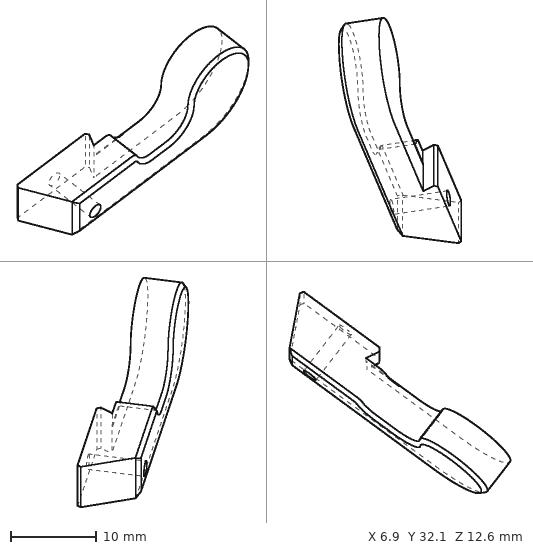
import cadquery as cq
import math

width = 6.9
length = 32.12
height = 12.62

head_radius = 5.0
arm_left = 1.9
arm_height = 4.0
head_y = length - head_radius
head_z = height - head_radius
heel_radius = head_z
neck_radius = head_z - arm_height

block_height = 6.0
step_start_y = 15.77
step_end_y = 12.78
step_hollow_radius = 2.2
step_left = 2.0

slant_slope = 0.5
hook_root_y = 11.92
edge_chamfer = 0.48
rim_chamfer = 0.5
pin_diameter = 1.8
pin_y = 6.33
pin_z = 2.0

front_corner_y = -edge_chamfer * math.sin(math.atan(slant_slope))


def slanted_y(corner_y, x, slope):
    return corner_y + slope * x


def make_side_profile():
    """Outline in the YZ plane of the arm, the round head and the step."""
    step_length = step_start_y - step_end_y
    step_rise = block_height - arm_height
    step_angle = 2 * math.atan2(step_rise, step_length)
    step_crest_radius = step_length / math.sin(step_angle) - step_hollow_radius

    def step_point(angle):
        """Point on the hollow arc, measured from its lowest point."""
        return (
            step_start_y - step_hollow_radius * math.sin(angle),
            arm_height + step_hollow_radius * (1 - math.cos(angle)),
        )

    def crest_point(angle):
        """Point on the crest arc, measured from its highest point."""
        return (
            step_end_y + step_crest_radius * math.sin(angle),
            block_height - step_crest_radius * (1 - math.cos(angle)),
        )

    half_diagonal = math.sqrt(0.5)
    heel_y = length - heel_radius
    neck_y = head_y - head_radius - neck_radius
    inner_y = slanted_y(hook_root_y, step_left, -slant_slope)
    return (
        cq.Workplane("YZ")
        .moveTo(inner_y, 0)
        .lineTo(heel_y, 0)
        .threePointArc(
            (heel_y + heel_radius * half_diagonal, head_z - heel_radius * half_diagonal),
            (length, head_z),
        )
        .threePointArc((head_y, height), (head_y - head_radius, head_z))
        .threePointArc(
            (neck_y + neck_radius * half_diagonal, head_z - neck_radius * half_diagonal),
            (neck_y, arm_height),
        )
        .lineTo(step_start_y, arm_height)
        .threePointArc(step_point(step_angle / 2), step_point(step_angle))
        .threePointArc(crest_point(step_angle / 2), (step_end_y, block_height))
        .lineTo(inner_y, block_height)
        .close()
    )


def make_arm():
    arm = make_side_profile().extrude(width - arm_left).translate((arm_left, 0, 0))
    setback = cq.Workplane("XY").box(
        step_left - arm_left, step_start_y, block_height - arm_height, centered=False
    )
    return arm.cut(setback.translate((arm_left, 0, arm_height)))


def make_block():
    inner_y = slanted_y(hook_root_y, step_left, -slant_slope)
    block = (
        cq.Workplane("XY")
        .polyline([
            (0, front_corner_y),
            (width, slanted_y(front_corner_y, width, slant_slope)),
            (width, inner_y),
            (step_left, inner_y),
            (0, hook_root_y),
        ])
        .close()
        .extrude(block_height)
    )
    return block.edges("|Z and <X").chamfer(edge_chamfer)


body = make_arm().union(make_block()).clean()
body = body.faces(">X").edges().chamfer(rim_chamfer)

pin_hole = cq.Workplane("YZ").center(pin_y, pin_z).circle(pin_diameter / 2).extrude(width)
result = body.cut(pin_hole)